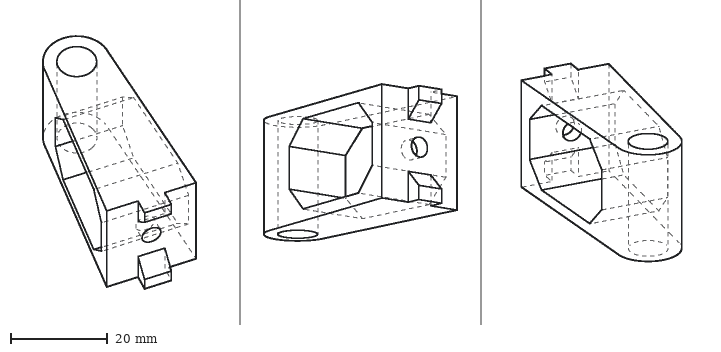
import cadquery as cq

height = 24.0
pivot_radius = 7.0
pivot_bore_diameter = 8.2

overall_length = 50.5
tab_length = 3.5
tab_end_x = overall_length - pivot_radius
body_end_x = tab_end_x - tab_length
body_end_width = 20.0

window_length = 30.0
window_height = 19.0
window_corner = 5.0
end_wall = 3.5
window_center_x = body_end_x - end_wall - window_length / 2

tab_width = 6.0
tab_tip_height = 3.0
tab_root_height = tab_tip_height + tab_length

screw_hole_diameter = 4.2

mid_z = height / 2


def make_body():
    half_width = body_end_width / 2
    return (
        cq.Workplane("XY")
        .moveTo(0, pivot_radius)
        .threePointArc((-pivot_radius, 0), (0, -pivot_radius))
        .lineTo(body_end_x, -half_width)
        .lineTo(body_end_x, half_width)
        .close()
        .extrude(height)
    )


def make_window():
    return (
        cq.Workplane("XY")
        .box(window_length, body_end_width, window_height)
        .edges("|Y")
        .chamfer(window_corner)
        .translate((window_center_x, 0, mid_z))
    )


def make_top_tab():
    """Tab flush with the top face, its underside sloping down to the body."""
    root_x = body_end_x - end_wall / 2
    return (
        cq.Workplane("XZ")
        .moveTo(root_x, height)
        .lineTo(tab_end_x, height)
        .lineTo(tab_end_x, height - tab_tip_height)
        .lineTo(body_end_x, height - tab_root_height)
        .lineTo(root_x, height - tab_root_height)
        .close()
        .extrude(tab_width / 2, both=True)
    )


def make_pivot_bore():
    return cq.Workplane("XY").circle(pivot_bore_diameter / 2).extrude(height)


def make_screw_hole():
    return (
        cq.Workplane("YZ", origin=(window_center_x, 0, mid_z))
        .circle(screw_hole_diameter / 2)
        .extrude(body_end_x - window_center_x)
    )


top_tab = make_top_tab()
bottom_tab = top_tab.mirror("XY", (0, 0, mid_z))

result = (
    make_body()
    .union(top_tab)
    .union(bottom_tab)
    .cut(make_window())
    .cut(make_pivot_bore())
    .cut(make_screw_hole())
)